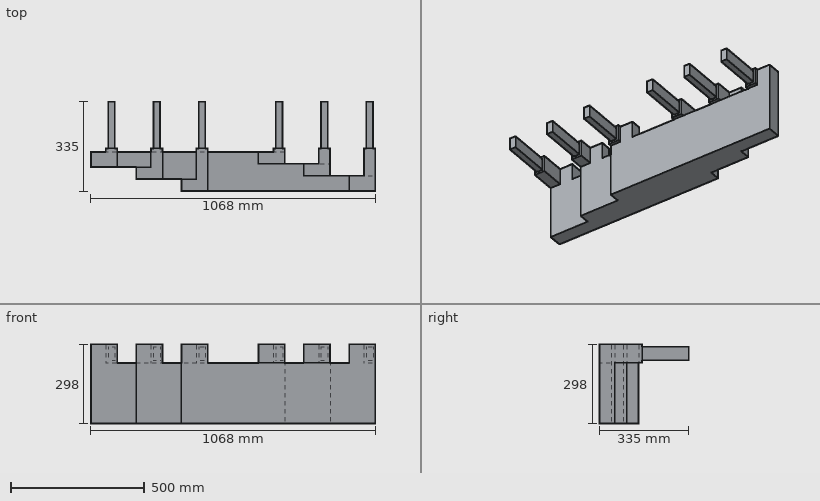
import cadquery as cq

total_length = 1068.0
total_depth = 335.0
total_height = 298.0

bar_count = 3
bar_shift_x = 170.0
bar_shift_y = 45.0
bar_thickness = 58.0
bar_length = total_length - (bar_count - 1) * bar_shift_x

lug_length = 99.0
lug_height = 70.0
bar_height = total_height - lug_height

arm_width = 44.0
arm_back_y = 160.0

terminal_width = 26.0
terminal_height = 51.0
terminal_length = total_depth - arm_back_y


def block(x, y, z, length, depth, height):
    """Box with its minimum corner at (x, y, z)."""
    return cq.Workplane("XY").box(length, depth, height, centered=False).translate((x, y, z))


def connector(lug_x, front_y, back_y):
    """Lug with its arm and terminal; all terminals end in one plane."""
    arm_x = lug_x + lug_length - arm_width
    terminal_x = arm_x + (arm_width - terminal_width) / 2
    terminal_z = bar_height + (lug_height - terminal_height) / 2
    lug = block(lug_x, front_y, bar_height, lug_length, back_y - front_y, lug_height)
    arm = block(arm_x, front_y, bar_height, arm_width, arm_back_y - front_y, lug_height)
    terminal = block(
        terminal_x, arm_back_y, terminal_z, terminal_width, terminal_length, terminal_height
    )
    return lug.union(arm).union(terminal)


def bar(index):
    """Upright bar with a connector at each end; index 0 is the front bar."""
    start_x = (bar_count - 1 - index) * bar_shift_x
    front_y = index * bar_shift_y
    back_y = front_y + bar_thickness
    plate = block(start_x, front_y, 0, bar_length, bar_thickness, bar_height)

    is_last = index == bar_count - 1
    left_back_y = back_y if is_last else front_y + bar_shift_y
    left = connector(start_x, front_y, left_back_y)

    is_first = index == 0
    right_front_y = front_y if is_first else back_y - bar_shift_y
    right = connector(start_x + bar_length - lug_length, right_front_y, back_y)
    return plate.union(left).union(right)


result = bar(0)
for bar_index in range(1, bar_count):
    result = result.union(bar(bar_index))

result = result.clean()